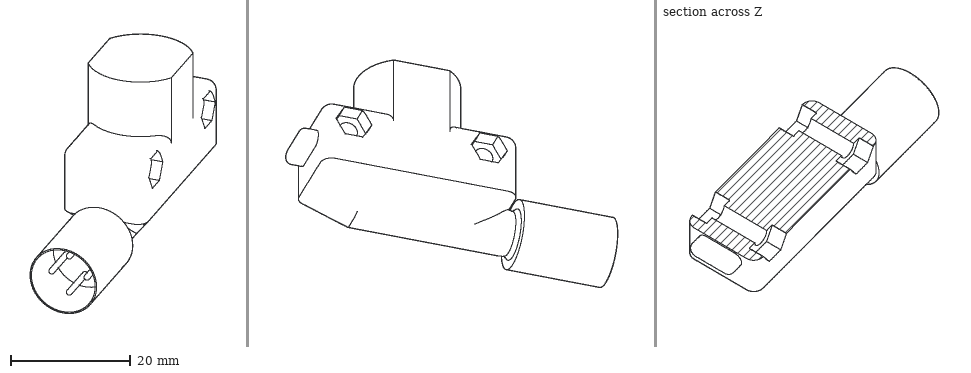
import cadquery as cq
import math


overall_length = 55.5

block_width = 15.0
block_length = 34.5
block_bottom = 3.3
block_top = 15.1
edge_radius = 2.0

keel_radius = 4.0
end_slope = 45.0
keel_corner_radius = 1.9

boss_diameter = 18.0
boss_top = 25.3

key_width = 9.0
key_height = 3.0
key_length = 3.0
key_height_center = 9.55
key_edge_radius = 1.0

screw_spacing = 24.0
screw_height = 11.4
screw_diameter = 3.3
hex_across_flats = 5.5
recess_depth = 3.0

collar_diameter = 12.0
socket_diameter = 11.5
collar_back = -18.7
collar_front = block_length / 2 + key_length - overall_length
socket_depth = 10.0
neck_straight_end = -17.0
groove_position = -17.9
groove_radius = 3.85
flare_radius = 4.4

pin_diameter = 1.0
pin_offset_x = 3.15
pin_offset_z = 3.4
pin_setback = 2.35
pin_tip_radius = 0.45


def cylinder_along_y(diameter, y_start, y_end, x=0, z=0):
    """Cylinder parallel to Y, from y_start towards the larger y_end."""
    center = cq.Workplane("XZ", origin=(x, y_start, z))
    return center.circle(diameter / 2).extrude(y_start - y_end)


def rounded_rectangle(width, length, radius, z):
    """Closed wire of a rectangle with rounded corners, parallel to XY."""
    outline = cq.Sketch().rect(width, length).vertices().fillet(radius)
    slab = cq.Workplane("XY", origin=(0, 0, z)).placeSketch(outline).extrude(0.55)
    return slab.faces("<Z").wires().val()


def make_block():
    block = cq.Workplane("XY", origin=(0, 0, block_bottom)).rect(block_width, block_length)
    block = block.extrude(block_top - block_bottom)
    return block.edges("|Z or >Z").fillet(edge_radius)


def make_underside():
    """Tapered lower body whose sides run tangent into the round keel."""
    half_width = block_width / 2
    corner_distance = math.hypot(half_width, block_bottom)
    tangent_angle = math.atan2(block_bottom, half_width) - math.acos(keel_radius / corner_distance)
    tangent_x = keel_radius * math.cos(tangent_angle)
    tangent_z = keel_radius * math.sin(tangent_angle)

    depth = block_bottom + keel_radius
    side_slope = (half_width - tangent_x) / (block_bottom - tangent_z)
    keel_width = block_width - 2 * depth * side_slope
    keel_length = block_length - 2 * depth / math.tan(math.radians(end_slope))
    frustum = cq.Solid.makeLoft(
        [
            rounded_rectangle(block_width, block_length, edge_radius, block_bottom),
            rounded_rectangle(keel_width, keel_length, keel_corner_radius, -keel_radius),
        ],
        True,
    )

    section = (
        cq.Workplane("XZ")
        .moveTo(-half_width, block_bottom)
        .lineTo(-tangent_x, tangent_z)
        .threePointArc((0, -keel_radius), (tangent_x, tangent_z))
        .lineTo(half_width, block_bottom)
        .close()
        .extrude(block_length / 2, both=True)
    )
    return section.intersect(cq.Workplane(obj=frustum))


def make_boss():
    height = boss_top - block_bottom
    boss = cq.Workplane("XY", origin=(0, 0, block_bottom)).circle(boss_diameter / 2).extrude(height)
    flats = cq.Workplane("XY", origin=(0, 0, block_bottom)).rect(block_width, boss_diameter).extrude(height)
    return boss.intersect(flats)


def make_key():
    start = cq.Workplane("XZ", origin=(0, 0, key_height_center))
    key = start.slot2D(key_width, key_height).extrude(-(block_length / 2 + key_length))
    return key.faces(">Y").edges().fillet(key_edge_radius)


def make_neck():
    """Round neck with a shallow groove, flaring out to the collar."""
    return (
        cq.Workplane("XY")
        .lineTo(keel_radius, 0)
        .lineTo(keel_radius, neck_straight_end)
        .lineTo(groove_radius, groove_position)
        .lineTo(flare_radius, collar_back)
        .lineTo(0, collar_back)
        .close()
        .revolve(360, (0, 0, 0), (0, 1, 0))
    )


def make_collar():
    collar = cylinder_along_y(collar_diameter, collar_front, collar_back)
    socket_floor = collar_front + socket_depth
    collar = collar.cut(cylinder_along_y(socket_diameter, collar_front, socket_floor))
    pin_places = [(pin_offset_x, 0), (-pin_offset_x, 0), (0, pin_offset_z), (0, -pin_offset_z)]
    for x, z in pin_places:
        pin = cylinder_along_y(pin_diameter, collar_front + pin_setback, collar_back, x, z)
        collar = collar.union(pin.faces("<Y").edges().fillet(pin_tip_radius))
    return collar


def make_screw_cut(y):
    """Through hole with a hexagonal recess on each side."""
    half_width = block_width / 2
    hex_corner_diameter = hex_across_flats / math.cos(math.radians(30))
    left = cq.Workplane("YZ", origin=(-half_width, y, screw_height))
    right = cq.Workplane("YZ", origin=(half_width, y, screw_height))
    hole = left.circle(screw_diameter / 2).extrude(block_width)
    left_recess = left.polygon(6, hex_corner_diameter).extrude(recess_depth)
    right_recess = right.polygon(6, hex_corner_diameter).extrude(-recess_depth)
    return hole.union(left_recess).union(right_recess)


result = make_block().union(make_underside()).union(make_boss())
result = result.union(make_key()).union(make_neck()).union(make_collar())
for side in (-1, 1):
    result = result.cut(make_screw_cut(side * screw_spacing / 2))